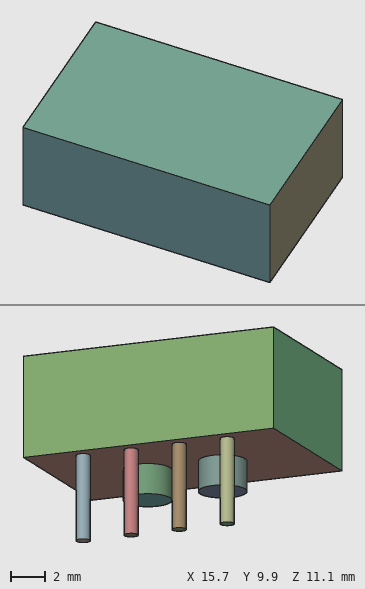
import cadquery as cq

housing_length = 15.65
housing_width = 9.9
total_height = 11.13

pin_diameter = 0.81
pin_length = 5.09
pin_count = 4
pin_pitch = 3.0
pin_row_y = 3.98

standoff_diameter = 2.8
standoff_length = 1.8
standoff_count = 2
standoff_pitch = 4.7
standoff_row_y = -0.35

housing_height = total_height - pin_length


def make_housing():
    return cq.Workplane("XY").box(
        housing_length, housing_width, housing_height, centered=(True, True, False)
    )


def make_hanging_cylinder(x, y, diameter, length):
    """Cylinder that reaches down from the underside of the housing."""
    return cq.Workplane("XY").center(x, y).circle(diameter / 2).extrude(-length)


def make_pin(x):
    return make_hanging_cylinder(x, pin_row_y, pin_diameter, pin_length)


def make_standoff(x):
    return make_hanging_cylinder(x, standoff_row_y, standoff_diameter, standoff_length)


def row_positions(count, pitch):
    """X positions of an evenly spaced row centred on X = 0."""
    return [(index - (count - 1) / 2) * pitch for index in range(count)]


housing = make_housing()
pins = [make_pin(x) for x in row_positions(pin_count, pin_pitch)]
standoffs = [make_standoff(x) for x in row_positions(standoff_count, standoff_pitch)]

result = cq.Compound.makeCompound(
    [
        housing.val(),
        *[pin.val() for pin in pins],
        *[standoff.val() for standoff in standoffs],
    ]
)